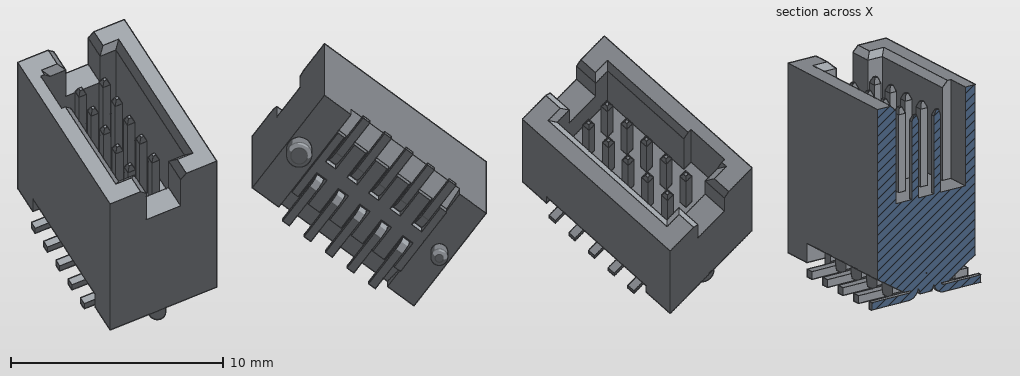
import cadquery as cq
import math

body_length = 9.55
body_width = 5.65
body_height = 9.6

cavity_length = 7.07
cavity_width = 3.48
cavity_depth = 5.0
lead_in = 0.3

key_length = 2.16
key_depth = 0.5

end_slot_width = 1.81
end_slot_depth = 2.3

standoff_length = 6.42
standoff_width = 3.61
standoff_height = 0.3
notch_height = 0.97
notch_slope_run = 1.55

contacts_per_row = 5
row_span = 5.08
pitch = row_span / (contacts_per_row - 1)
pin_size = 0.4
pin_top = 8.83
tip_height = 0.3
tip_flat = 0.15
lead_span = 6.3
lead_bottom = -0.5
bend_inner_radius = 0.19
bend_outer_radius = bend_inner_radius + pin_size

contact_slot_width = 0.41
funnel_height = 0.28
funnel_flare = 0.1

overall_height = 10.8
peg_length = overall_height - body_height
peg_offset = 4.14
large_peg_diameter = 1.2
small_peg_diameter = 0.8
peg_tip_radius = 0.2

row_y = -pitch / 2
pin_outer_y = row_y - pin_size / 2
pin_inner_y = row_y + pin_size / 2
contact_xs = [i * pitch - row_span / 2 for i in range(contacts_per_row)]

funnel_top = funnel_height - standoff_height
notch_profile = [
    (-body_width / 2, -standoff_height),
    (-body_width / 2, notch_height),
    (-body_width / 2 + notch_slope_run, funnel_top),
    (pin_inner_y, funnel_top),
    (pin_inner_y, -standoff_height),
]


def box(x_size, y_size, z_low, z_high):
    """Box centred on X and Y between two heights."""
    return cq.Workplane("XY").workplane(offset=z_low).rect(x_size, y_size).extrude(z_high - z_low)


def x_prism(profile, length, x_centre=0):
    """Extrude a closed (Y, Z) outline along X, centred on x_centre."""
    start = x_centre - length / 2
    return cq.Workplane("YZ").workplane(offset=start).polyline(profile).close().extrude(length)


def front_and_rear(solid):
    """Join a solid at the front with its mirror image at the rear."""
    return solid.union(solid.mirror("XZ"))


def make_cavity():
    """Rectangular cavity with a 45 degree lead-in and the polarising recess."""
    floor = body_height - cavity_depth
    cavity = box(cavity_length, cavity_width, floor, body_height)
    flare = (
        cq.Workplane("XY").workplane(offset=body_height - lead_in)
        .rect(cavity_length, cavity_width)
        .workplane(offset=lead_in)
        .rect(cavity_length + 2 * lead_in, cavity_width + 2 * lead_in)
        .loft(ruled=True)
    )
    key = box(key_length, 2 * key_depth, floor, body_height).translate(
        ((key_length - cavity_length) / 2, -cavity_width / 2, 0)
    )
    return cavity.union(flare).union(key)


def make_end_slots():
    """Slot through both end walls, with 45 degree chamfers at the top."""
    half = end_slot_width / 2
    bottom = body_height - end_slot_depth
    shoulder = body_height - lead_in
    return x_prism(
        [
            (-half, bottom),
            (half, bottom),
            (half, shoulder),
            (half + lead_in, body_height),
            (-half - lead_in, body_height),
            (-half, shoulder),
        ],
        body_length,
    )


def make_notches():
    """Full-length relief notches over the leads; the standoff later fills their inner part."""
    return front_and_rear(x_prism(notch_profile, standoff_length))


def make_contact_slots():
    """Slots in the standoff that let each contact out, flared at the bottom."""
    front_y = -standoff_width / 2
    funnel_length = pin_inner_y - front_y
    slots = cq.Workplane("XY")
    for x in contact_xs:
        slot = x_prism(notch_profile, contact_slot_width, x)
        funnel = (
            cq.Workplane("XY").workplane(offset=funnel_top)
            .center(x, (pin_inner_y + front_y) / 2)
            .rect(contact_slot_width, funnel_length)
            .workplane(offset=-funnel_height)
            .rect(contact_slot_width + 2 * funnel_flare, funnel_length + 2 * funnel_flare)
            .loft(ruled=True)
        )
        slots = slots.add(slot.union(funnel))
    return front_and_rear(slots.combine())


def make_contact(x):
    """One front-row contact: tapered tip, straight pin, rounded bend and flat lead."""
    lead_top = lead_bottom + pin_size
    bend_y = pin_outer_y - bend_inner_radius
    bend_z = lead_top + bend_inner_radius
    lead_end_y = -lead_span / 2
    shoulder = pin_top - tip_height
    diagonal = math.sqrt(0.5)
    shank = (
        cq.Workplane("YZ").workplane(offset=x - pin_size / 2)
        .moveTo(lead_end_y, lead_bottom)
        .lineTo(bend_y, lead_bottom)
        .threePointArc(
            (bend_y + bend_outer_radius * diagonal, bend_z - bend_outer_radius * diagonal),
            (pin_inner_y, bend_z),
        )
        .lineTo(pin_inner_y, shoulder)
        .lineTo(pin_outer_y, shoulder)
        .lineTo(pin_outer_y, bend_z)
        .threePointArc(
            (bend_y + bend_inner_radius * diagonal, bend_z - bend_inner_radius * diagonal),
            (bend_y, lead_top),
        )
        .lineTo(lead_end_y, lead_top)
        .close()
        .extrude(pin_size)
    )
    tip = (
        cq.Workplane("XY").workplane(offset=shoulder)
        .center(x, row_y)
        .rect(pin_size, pin_size)
        .workplane(offset=tip_height)
        .rect(tip_flat, tip_flat)
        .loft(ruled=True)
    )
    return shank.union(tip)


def make_peg(x, diameter):
    """Locating peg under the housing with a rounded lower edge."""
    return (
        cq.Workplane("XY").center(x, 0).circle(diameter / 2).extrude(-peg_length)
        .faces("<Z").edges().fillet(peg_tip_radius)
    )


def make_standoff():
    """Block between the notches, reaching up into the housing."""
    return box(standoff_length, standoff_width, -standoff_height, notch_height)


result = (
    box(body_length, body_width, 0, body_height)
    .cut(make_cavity())
    .cut(make_end_slots())
    .cut(make_notches())
    .union(make_standoff())
    .cut(make_contact_slots())
    .union(make_peg(-peg_offset, large_peg_diameter))
    .union(make_peg(peg_offset, small_peg_diameter))
)
for contact_x in contact_xs:
    result = result.union(front_and_rear(make_contact(contact_x)))